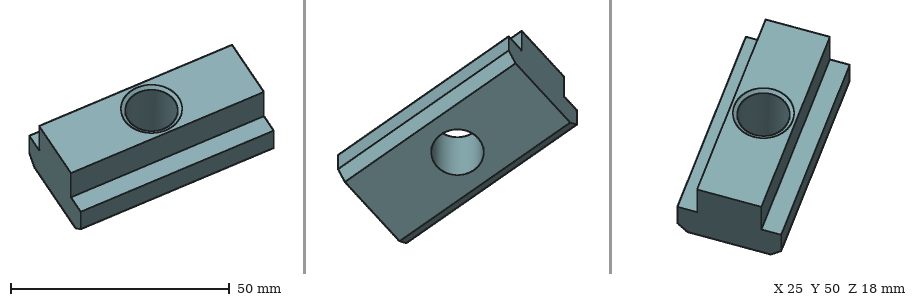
import cadquery as cq

width = 25.0
length = 50.0
height = 18.0

neck_width = 15.5
flange_height = 9.0
edge_chamfer = 2.5

hole_diameter = 12.0
countersink_diameter = 14.0
countersink_angle = 120.0


def make_flange():
    """Wide lower bar with its two long bottom edges chamfered."""
    flange = cq.Workplane("XY").box(width, length, flange_height, centered=(True, True, False))
    return flange.faces("<Z").edges("|Y").chamfer(edge_chamfer)


def make_neck():
    """Narrow upper bar standing on the flange."""
    return (
        cq.Workplane("XY")
        .workplane(offset=flange_height)
        .box(neck_width, length, height - flange_height, centered=(True, True, False))
    )


body = make_flange().union(make_neck())
result = (
    body.faces(">Z")
    .workplane(centerOption="CenterOfBoundBox")
    .cskHole(hole_diameter, countersink_diameter, countersink_angle)
)